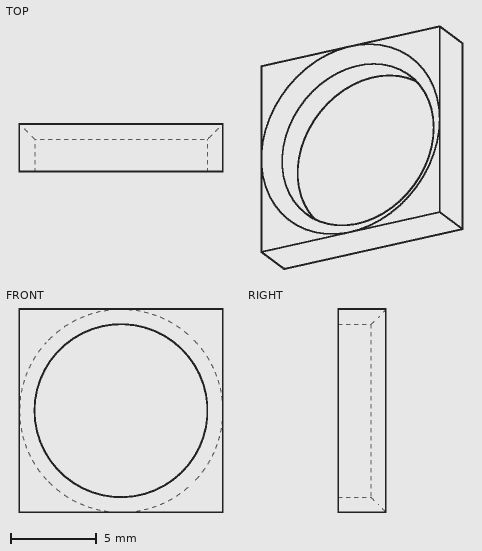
import cadquery as cq

side = 11.9
thickness = 2.8
bore_diameter = 10.1

rim_wall = 0.006
countersink = (side - bore_diameter) / 2 - rim_wall

plate = cq.Workplane("XY").box(side, thickness, side)

bored_plate = plate.faces("<Y").workplane().hole(bore_diameter)

result = bored_plate.faces(">Y").edges("%CIRCLE").chamfer(countersink)